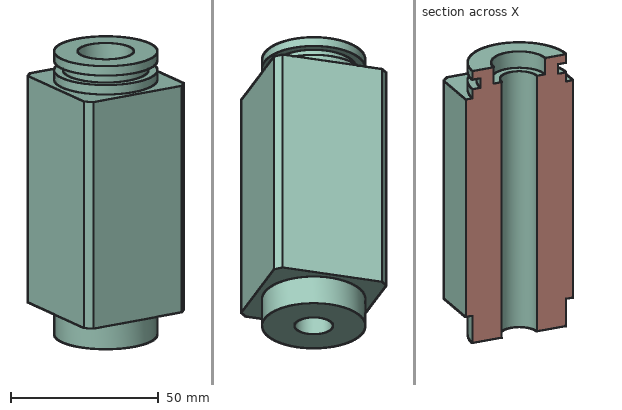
import cadquery as cq

body_width = 40.0
body_height = 80.0
corner_chamfer = 2.3

end_diameter = 35.0
end_height = 10.0

groove_diameter = 29.0
groove_height = end_height / 3
groove_bottom = end_height + body_height + (end_height - groove_height) / 2

bore_diameter = 13.0
counterbore_diameter = 19.0
counterbore_depth = 6.0

total_height = body_height + 2 * end_height


def cylinder(diameter, bottom, height):
    """Upright cylinder on the part axis, starting at the given level."""
    return cq.Workplane("XY").workplane(offset=bottom).circle(diameter / 2).extrude(height)


def square_body():
    """Square prism with its four upright edges chamfered."""
    prism = cq.Workplane("XY").workplane(offset=end_height).rect(body_width, body_width).extrude(body_height)
    return prism.edges("|Z").chamfer(corner_chamfer)


def groove():
    """Ring removed from the top end."""
    outer = cylinder(end_diameter, groove_bottom, groove_height)
    return outer.cut(cylinder(groove_diameter, groove_bottom, groove_height))


outside = cylinder(end_diameter, 0, total_height).union(square_body()).cut(groove())
bore = cylinder(bore_diameter, 0, total_height)
counterbore = cylinder(counterbore_diameter, total_height - counterbore_depth, counterbore_depth)

result = outside.cut(bore).cut(counterbore)